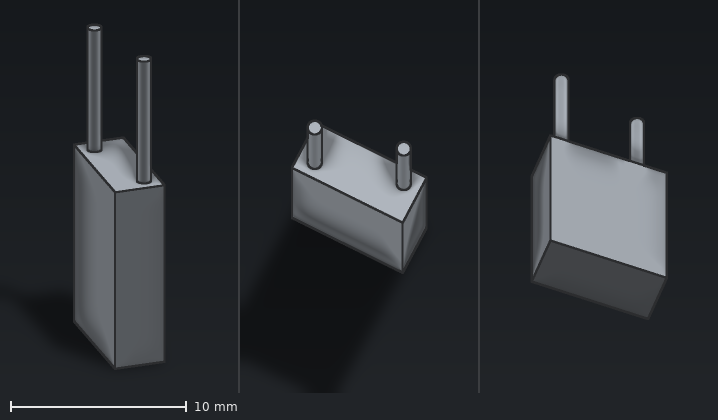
import cadquery as cq

body_width = 7.1
body_depth = 3.0
body_height = 11.01

total_height = 18.6
lead_diameter = 0.82
lead_spacing_x = 5.08
lead_spacing_y = 1.2
lead_length = total_height - body_height

lead_centers = [
    (side * lead_spacing_x / 2, side * lead_spacing_y / 2)
    for side in (-1, 1)
]

body = cq.Workplane("XY").box(
    body_width, body_depth, body_height, centered=(True, True, False)
)

result = (
    body.faces(">Z")
    .workplane()
    .pushPoints(lead_centers)
    .circle(lead_diameter / 2)
    .extrude(lead_length)
)